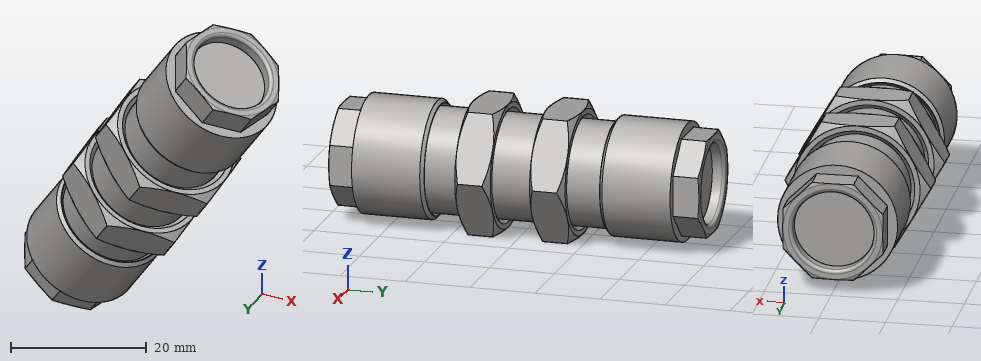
import cadquery as cq
import math


LENGTH = 57.0
HALF_LENGTH = LENGTH / 2


BARREL_RADIUS = 8.0
COLLAR_RADIUS = 9.0
COLLAR_INNER_Y = 13.5
COLLAR_OUTER_Y = 24.5
COLLAR_CHAMFER = 0.5
COLLAR_RIM_WIDTH = 0.1
RELIEF_RADIUS = COLLAR_RADIUS - COLLAR_CHAMFER - COLLAR_RIM_WIDTH
RELIEF_DEPTH = RELIEF_RADIUS - BARREL_RADIUS
OCTAGON_SIDES = 8
OCTAGON_ACROSS_FLATS = 15.0
OCTAGON_CHAMFER_ANGLE = 15.0
OCTAGON_FACE_RADIUS = 7.45
SOCKET_RADIUS = 6.1
SOCKET_DEPTH = 2.0
SOCKET_LIP_FILLET = 0.5

NUT_SIDES = 6
NUT_ACROSS_FLATS = 19.0
NUT_THICKNESS = 5.5
NUT_GAP = 6.05
NUT_CENTRE_Y = (NUT_GAP + NUT_THICKNESS) / 2
NUT_CHAMFER_ANGLE = 30.0
NUT_FACE_RADIUS = 9.45
NUT_COUNTERSINK = 0.7


def disc(radius, y_start, y_end):
    """Cylinder about the Y axis between two Y positions."""
    start_plane = cq.Workplane("XZ", origin=(0, y_start, 0))
    return start_plane.circle(radius).extrude(y_start - y_end)


def revolve_about_y(points):
    """Solid of revolution about the Y axis from (radius, y) points."""
    return cq.Workplane("XY").polyline(points).close().revolve(360, (0, 0, 0), (0, 1, 0))


def prism(sides, across_flats, y_start, y_end):
    """Regular prism along Y with flats facing up and down."""
    corner_radius = across_flats / 2 / math.cos(math.pi / sides)
    turn = 0 if sides % 4 else 180 / sides
    start_plane = cq.Workplane("XZ", origin=(0, y_start, 0))
    blank = start_plane.polygon(sides, 2 * corner_radius).extrude(y_start - y_end)
    return blank.rotate((0, 0, 0), (0, 1, 0), turn)


def chamfer_envelope(face_radius, angle, rim_radius, y_flat, y_face):
    """Turned blank that trims the corners of a prism at its y_face end."""
    drop = (rim_radius - face_radius) * math.tan(math.radians(angle))
    y_rim = y_face - math.copysign(drop, y_face - y_flat)
    return revolve_about_y(
        [(0, y_flat), (rim_radius, y_flat), (rim_radius, y_rim), (face_radius, y_face), (0, y_face)]
    )


def make_collar():
    """Collar on the +Y side, chamfered and relieved around the barrel at its inner end."""
    return revolve_about_y(
        [
            (0, COLLAR_INNER_Y + RELIEF_DEPTH),
            (BARREL_RADIUS, COLLAR_INNER_Y + RELIEF_DEPTH),
            (RELIEF_RADIUS, COLLAR_INNER_Y),
            (COLLAR_RADIUS - COLLAR_CHAMFER, COLLAR_INNER_Y),
            (COLLAR_RADIUS, COLLAR_INNER_Y + COLLAR_CHAMFER),
            (COLLAR_RADIUS, COLLAR_OUTER_Y),
            (0, COLLAR_OUTER_Y),
        ]
    )


def make_octagon_end():
    """Octagonal wrench end on the +Y side."""
    octagon = prism(OCTAGON_SIDES, OCTAGON_ACROSS_FLATS, COLLAR_OUTER_Y, HALF_LENGTH)
    envelope = chamfer_envelope(
        OCTAGON_FACE_RADIUS, OCTAGON_CHAMFER_ANGLE, COLLAR_RADIUS, COLLAR_OUTER_Y, HALF_LENGTH
    )
    return octagon.intersect(envelope)


def make_socket():
    """Blind round socket cut from the +Y end, with a rounded lip."""
    floor_y = HALF_LENGTH - SOCKET_DEPTH
    lip_radius = SOCKET_RADIUS + SOCKET_LIP_FILLET
    profile = (
        cq.Workplane("XY")
        .moveTo(0, floor_y)
        .lineTo(SOCKET_RADIUS, floor_y)
        .lineTo(SOCKET_RADIUS, HALF_LENGTH - SOCKET_LIP_FILLET)
        .radiusArc((lip_radius, HALF_LENGTH), SOCKET_LIP_FILLET)
        .lineTo(0, HALF_LENGTH)
        .close()
    )
    return profile.revolve(360, (0, 0, 0), (0, 1, 0))


def make_fitting():
    """Barrel with a mirrored collar, octagon and socket at each end."""
    end = make_collar().union(make_octagon_end()).cut(make_socket())
    barrel = disc(BARREL_RADIUS, -COLLAR_OUTER_Y, COLLAR_OUTER_Y)
    return barrel.union(end).union(end.mirror("XZ"))


def make_locknut(centre_y):
    """Hexagonal nut with chamfered corners and a bore countersunk at both faces."""
    half = NUT_THICKNESS / 2
    nut = prism(NUT_SIDES, NUT_ACROSS_FLATS, -half, half)
    for face_y in (-half, half):
        envelope = chamfer_envelope(
            NUT_FACE_RADIUS, NUT_CHAMFER_ANGLE, NUT_ACROSS_FLATS, -face_y, face_y
        )
        nut = nut.intersect(envelope)
    sink_radius = BARREL_RADIUS + NUT_COUNTERSINK
    sink_y = half - NUT_COUNTERSINK
    bore = revolve_about_y(
        [
            (0, -half),
            (sink_radius, -half),
            (BARREL_RADIUS, -sink_y),
            (BARREL_RADIUS, sink_y),
            (sink_radius, half),
            (0, half),
        ]
    )
    return nut.cut(bore).translate((0, centre_y, 0))


fitting = make_fitting()
locknuts = [make_locknut(centre_y) for centre_y in (-NUT_CENTRE_Y, NUT_CENTRE_Y)]

result = cq.Compound.makeCompound([fitting.val(), *[nut.val() for nut in locknuts]])